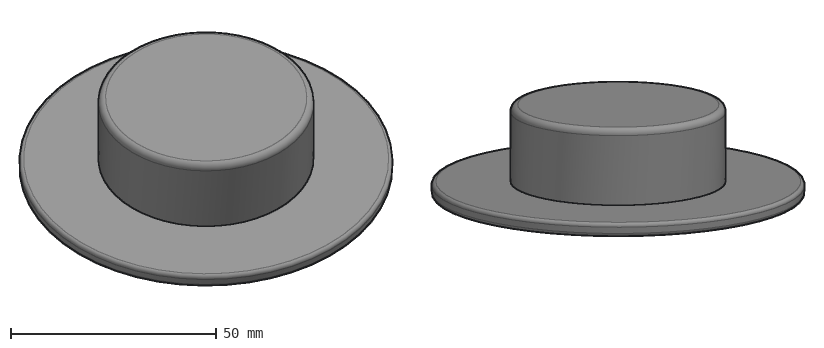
import cadquery as cq

flange_diameter = 91.0
flange_thickness = 3.55
flange_edge_radius = 1.0

boss_diameter = 52.5
boss_edge_radius = 1.7
total_height = 22.75


def make_flange():
    """Flat disc on the XY plane with both rims rounded."""
    disc = cq.Workplane("XY").circle(flange_diameter / 2).extrude(flange_thickness)
    return disc.edges().fillet(flange_edge_radius)


def make_boss():
    """Upright cylinder with a rounded top rim."""
    cylinder = cq.Workplane("XY").circle(boss_diameter / 2).extrude(total_height)
    return cylinder.faces(">Z").edges().fillet(boss_edge_radius)


result = make_flange().union(make_boss())